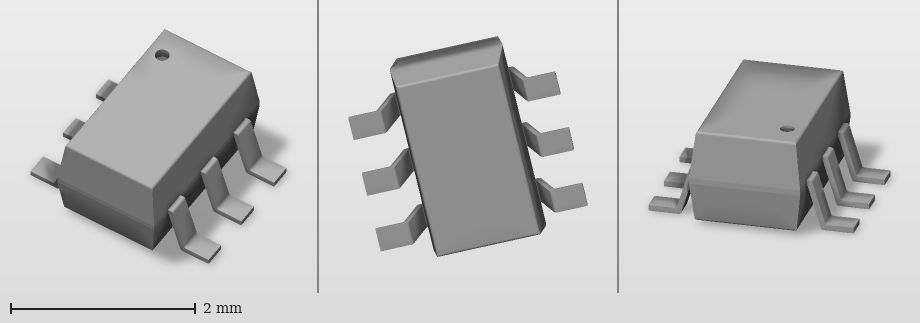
import cadquery as cq
import math

total_height = 1.1
lead_span = 2.3

body_width = 1.25
body_length = 2.1
standoff = 0.05
draft_angle = 7.0
edge_radius = 0.03

marker_diameter = 0.16
marker_depth = 0.12
marker_side_inset = 0.25
marker_end_inset = 0.4

leads_per_side = 3
lead_pitch = 0.65
lead_width = 0.25
lead_thickness = 0.065
lead_slope_angle = 17.0
shoulder_length = 0.058
bend_radius = 0.03

band_top = 0.57
band_bottom = band_top - lead_thickness


def tapered_half(base_height, height):
    """Half of the housing, narrowing upwards or, for a negative height, downwards."""
    return (
        cq.Workplane("XY", origin=(0, 0, base_height))
        .rect(body_width, body_length)
        .extrude(height, taper=draft_angle)
    )


def make_housing():
    upper = tapered_half(band_top, total_height - band_top)
    upper = upper.faces(">Z").edges().fillet(edge_radius)

    lower = tapered_half(band_bottom, standoff - band_bottom)
    lower = lower.faces("<Z").edges().fillet(edge_radius)

    band = (
        cq.Workplane("XY", origin=(0, 0, band_bottom))
        .rect(body_width, body_length)
        .extrude(lead_thickness)
    )

    marker_x = marker_side_inset - body_width / 2
    marker_y = body_length / 2 - marker_end_inset
    marker = (
        cq.Workplane("XY", origin=(marker_x, marker_y, total_height - marker_depth))
        .circle(marker_diameter / 2)
        .extrude(marker_depth)
    )
    return band.union(upper).union(lower).cut(marker)


def make_lead(side, y_center):
    """One gull-wing lead; side is -1 for the -X row and +1 for the +X row."""
    slope = math.radians(lead_slope_angle)
    leg_run = (band_top - lead_thickness) * math.tan(slope)
    miter_shift = lead_thickness * math.tan((math.pi / 2 - slope) / 2)

    body_face = body_width / 2
    toe = lead_span / 2
    upper_outer = body_face + shoulder_length
    upper_inner = upper_outer - miter_shift
    heel_inner = upper_outer + leg_run
    heel_outer = heel_inner - miter_shift

    outline = [
        (body_face, band_top),
        (upper_outer, band_top),
        (heel_inner, lead_thickness),
        (toe, lead_thickness),
        (toe, 0),
        (heel_outer, 0),
        (upper_inner, band_bottom),
        (body_face, band_bottom),
    ]
    lead = (
        cq.Workplane("XZ", origin=(0, y_center, 0))
        .polyline([(side * x, z) for x, z in outline])
        .close()
        .extrude(lead_width / 2, both=True)
    )

    rounded_corners = [
        (upper_outer, band_top),
        (heel_inner, lead_thickness),
        (heel_outer, 0),
    ]
    for x, z in rounded_corners:
        corner = cq.selectors.NearestToPointSelector((side * x, y_center, z))
        lead = lead.edges("|Y").edges(corner).fillet(bend_radius)
    return lead


housing = make_housing()

leads = []
for side in (-1, 1):
    for index in range(leads_per_side):
        y_center = (index - (leads_per_side - 1) / 2) * lead_pitch
        leads.append(make_lead(side, y_center))

result = cq.Compound.makeCompound([housing.val(), *[lead.val() for lead in leads]])